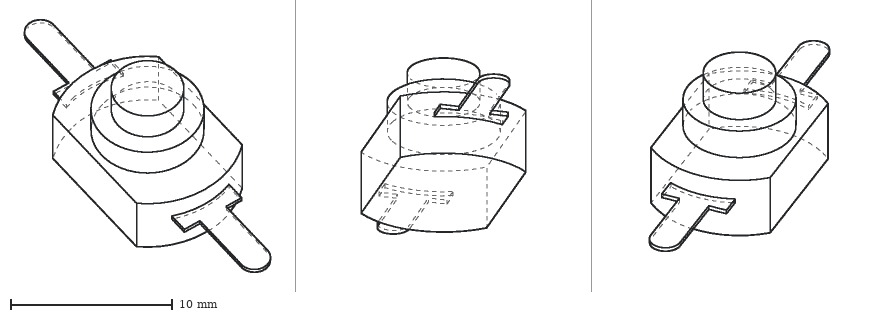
import cadquery as cq

body_diameter = 12.0
body_width = 8.1
body_height = 4.15

collar_diameter = 7.0
collar_height = 2.0
button_diameter = 4.5
total_height = 8.15
button_height = total_height - body_height - collar_height

terminal_span = 24.6
terminal_thickness = 0.27
terminal_bottom = 2.48
blade_width = 2.0
shoulder_span = 13.85
shoulder_width = 4.38


def make_body():
    drum = cq.Workplane("XY").circle(body_diameter / 2).extrude(body_height)
    flats = cq.Workplane("XY").rect(body_diameter, body_width).extrude(body_height)
    return drum.intersect(flats)


def make_cylinder(diameter, height, bottom):
    return cq.Workplane("XY").workplane(offset=bottom).circle(diameter / 2).extrude(height)


def make_terminals():
    """Round-ended blades with wide shoulders, joined through the body."""
    plane = cq.Workplane("XY").workplane(offset=terminal_bottom)
    blades = plane.slot2D(terminal_span, blade_width).extrude(terminal_thickness)
    shoulders = plane.rect(shoulder_span, shoulder_width).extrude(terminal_thickness)
    return blades.union(shoulders)


collar = make_cylinder(collar_diameter, collar_height, body_height)
button = make_cylinder(button_diameter, button_height, body_height + collar_height)

result = make_body().union(collar).union(button).union(make_terminals())